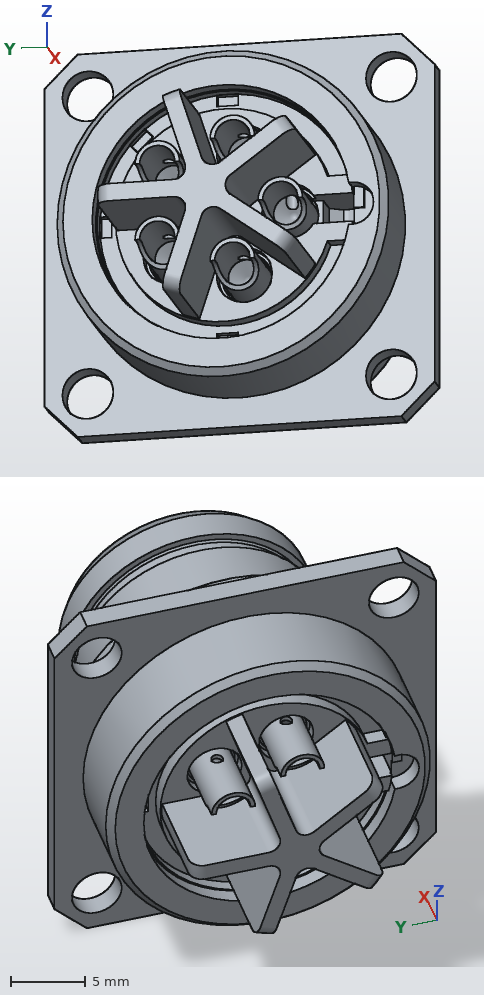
import cadquery as cq
import math


flange_side = 27.0
flange_front = 11.72
flange_thickness = 1.55
flange_corner_chamfer = 2.3
flange_hole_diameter = 3.5
flange_hole_spacing = 21.0

total_length = 26.8
collar_front = 6.05
collar_rear = 16.34
collar_chamfer = 0.5
shoulder_rear = 16.82
band_front = 18.25
groove_front = 22.0
groove_rear = 23.44
groove_wall_run = 0.15
rear_chamfer_length = 1.2
rear_chamfer_drop = 0.7

collar_radius = 11.48
shoulder_radius = 9.0
neck_radius = 8.1
band_radius = 8.9
groove_radius = 8.32
groove_lip_radius = 8.45

mouth_radius = 8.95
mouth_depth = 1.08
bore_radius = 8.83
bore_floor = 7.96
insert_radius = 7.5
insert_face = 6.9
key_width = 4.6

pocket_angles = (0, 45, 90, 270)
pocket_width = 1.48
pocket_inner_radius = 8.02
pocket_depth = 0.55

notch_radius = 1.48
notch_centre = 9.05
notch_depth = 1.22
lug_outer = 9.65
lug_setback = 1.03

pole_count = 5
pole_angle = 360 / pole_count
arm_thickness = 1.22
arm_root_radius = 0.85
star_radius = 7.4
arm_tip_radius = 0.97

contact_circle = 4.54
contact_radius = 1.55
contact_bore_radius = 1.22
contact_bore_floor = 7.42
contact_cone_depth = 1.08
contact_tips = (3.97, 3.15, 2.6, 2.6, 3.15)
scoop_start = 0.7
scoop_length = 1.5
scoop_bulge = 0.3
sight_hole_setback = 3.73
sight_hole_radius = 0.4
well_radius = 1.92
well_depth = 0.8
clearance_radius = 1.7
clearance_depth = 2.15

channel_width = 2.0
channel_ledge_end = 6.55
channel_ledge_depth = 1.35
channel_slope_depth = 3.25
channel_valley_start = 7.42
channel_valley_end = 7.78
channel_valley_depth = 3.78
channel_end_depth = 3.5


def disc(start, end, radius, y=0.0, z=0.0):
    """Round bar along X between two stations."""
    return cq.Workplane("YZ", origin=(start, y, z)).circle(radius).extrude(end - start)


def block(start, end, y_min, y_max, z_min, z_max):
    """Rectangular block given by its limits."""
    size = (end - start, y_max - y_min, z_max - z_min)
    return cq.Workplane("XY").box(*size, centered=False).translate((start, y_min, z_min))


def turn(body, angle):
    """Turn a body about the X axis, from +Y towards +Z."""
    return body.rotate((0, 0, 0), (1, 0, 0), angle)


def make_shell():
    outline = [
        (collar_front, 0),
        (collar_front, collar_radius - collar_chamfer),
        (collar_front + collar_chamfer, collar_radius),
        (collar_rear - collar_chamfer, collar_radius),
        (collar_rear, collar_radius - collar_chamfer),
        (collar_rear, shoulder_radius),
        (shoulder_rear, shoulder_radius),
        (shoulder_rear, neck_radius),
        (band_front, neck_radius),
        (band_front, band_radius),
        (groove_front, band_radius),
        (groove_front, groove_lip_radius),
        (groove_front + groove_wall_run, groove_radius),
        (groove_rear - groove_wall_run, groove_radius),
        (groove_rear, groove_lip_radius),
        (groove_rear, band_radius),
        (total_length - rear_chamfer_length, band_radius),
        (total_length, band_radius - rear_chamfer_drop),
        (total_length, 0),
    ]
    body = cq.Workplane("XY").polyline(outline).close().revolve(360, (0, 0, 0), (1, 0, 0))
    mouth = disc(collar_front, collar_front + mouth_depth, mouth_radius)
    bore = disc(collar_front, bore_floor, bore_radius)
    return body.union(make_flange()).cut(mouth).cut(bore)


def make_flange():
    plate = (
        cq.Workplane("YZ", origin=(flange_front, 0, 0))
        .rect(flange_side, flange_side)
        .extrude(flange_thickness)
        .edges("|X")
        .chamfer(flange_corner_chamfer)
    )
    return (
        plate.faces("<X")
        .workplane(centerOption="CenterOfBoundBox")
        .rect(flange_hole_spacing, flange_hole_spacing, forConstruction=True)
        .vertices()
        .hole(flange_hole_diameter)
    )


def make_pockets():
    pockets = cq.Workplane("XY")
    half_width = pocket_width / 2
    for angle in pocket_angles:
        pocket = block(
            bore_floor, bore_floor + pocket_depth, pocket_inner_radius, bore_radius, -half_width, half_width
        )
        pockets = pockets.add(turn(pocket, angle))
    return pockets.combine()


def make_notch():
    floor = collar_front + notch_depth
    notch = disc(collar_front, floor, notch_radius, y=-notch_centre)
    lug = block(collar_front + lug_setback, floor, -lug_outer, -mouth_radius, 0, notch_radius)
    return notch.cut(lug)


def make_insert():
    core = disc(insert_face, bore_floor, insert_radius)
    key = block(insert_face, bore_floor, -mouth_radius, 0, -key_width / 2, key_width / 2)
    return core.union(key.intersect(disc(insert_face, bore_floor, mouth_radius)))


def make_star():
    half_arm = arm_thickness / 2
    star = cq.Workplane("XY")
    for index in range(pole_count):
        arm = block(0, insert_face, 0, 2 * insert_radius, -half_arm, half_arm)
        star = star.union(turn(arm, index * pole_angle))
    corner_distance = half_arm / math.sin(math.radians(pole_angle / 2))
    roots = cq.selectors.BoxSelector(
        (0, -2 * corner_distance, -2 * corner_distance),
        (insert_face, 2 * corner_distance, 2 * corner_distance),
    )
    star = star.edges("|X").edges(roots).fillet(arm_root_radius)
    envelope = disc(0, insert_face, star_radius).faces("<X").edges().fillet(arm_tip_radius)
    return star.intersect(envelope)


def contact_position(index):
    """Contacts sit midway between the arms, the first one on the key side."""
    angle = math.radians(180 + index * pole_angle)
    return contact_circle * math.cos(angle), contact_circle * math.sin(angle)


def make_well(y, z):
    """Stepped clearance in the insert around one contact."""
    well = disc(insert_face, insert_face + well_depth, well_radius, y, z)
    return well.union(disc(insert_face, insert_face + clearance_depth, clearance_radius, y, z))


def make_contact(tip, y, z):
    """Solder cup with a sight hole on top and the lower half scooped away at the front."""
    cup = disc(tip, insert_face + clearance_depth, contact_radius, y, z)
    bore = disc(tip, contact_bore_floor, contact_bore_radius, y, z)
    cone_profile = [
        (contact_bore_floor, 0),
        (contact_bore_floor, contact_bore_radius),
        (contact_bore_floor + contact_cone_depth, 0),
    ]
    cone = (
        cq.Workplane("XY", origin=(0, y, z))
        .polyline(cone_profile)
        .close()
        .revolve(360, (0, 0, 0), (1, 0, 0))
    )
    sight_hole = (
        cq.Workplane("XY", origin=(tip + sight_hole_setback, y, z))
        .circle(sight_hole_radius)
        .extrude(contact_radius)
    )
    scoop = (
        cq.Workplane("XZ", origin=(tip, y, z))
        .lineTo(scoop_start, 0)
        .sagittaArc((scoop_start + scoop_length, -contact_radius), scoop_bulge)
        .lineTo(0, -contact_radius)
        .close()
        .extrude(contact_radius, both=True)
    )
    return cup.cut(bore).cut(cone).cut(scoop).cut(sight_hole)


def make_channel():
    """Slot from the first contact out to the bore, with a ledge and a sloped floor."""
    profile = [
        (insert_face, -contact_circle),
        (insert_face + channel_ledge_depth, -contact_circle),
        (insert_face + channel_ledge_depth, -channel_ledge_end),
        (insert_face + channel_slope_depth, -channel_ledge_end),
        (insert_face + channel_valley_depth, -channel_valley_start),
        (insert_face + channel_valley_depth, -channel_valley_end),
        (insert_face + channel_end_depth, -mouth_radius),
        (insert_face, -mouth_radius),
    ]
    return cq.Workplane("XY").polyline(profile).close().extrude(channel_width / 2, both=True)


positions = [contact_position(index) for index in range(pole_count)]

result = make_shell().cut(make_pockets()).cut(make_notch())
result = result.union(make_insert()).cut(make_channel())
for y, z in positions:
    result = result.cut(make_well(y, z))
result = result.union(make_star())
for tip, (y, z) in zip(contact_tips, positions):
    result = result.union(make_contact(tip, y, z))